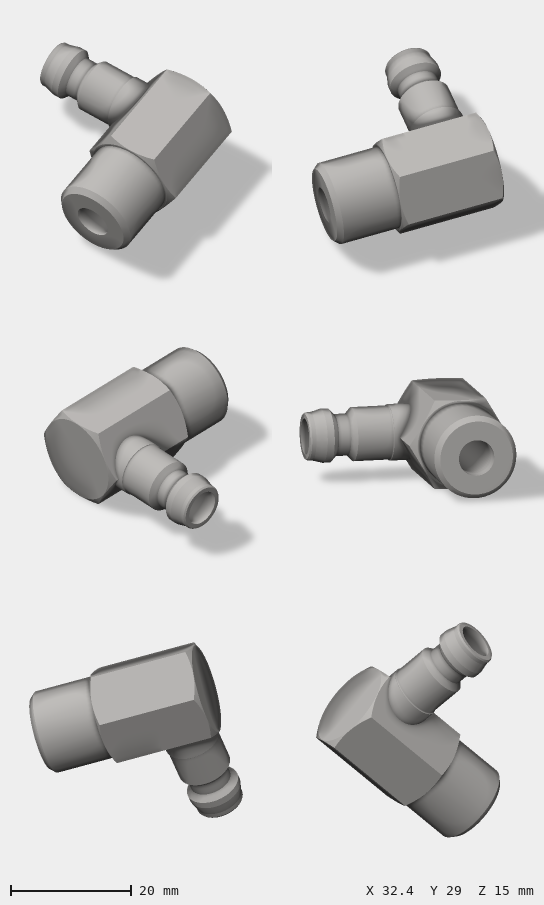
import cadquery as cq
import math

across_flats = 15.0
across_corners = across_flats / math.cos(math.radians(30))
hex_length = 18.0
hex_chamfer_radius = 7.42
hex_chamfer_angle = 30.0
body_length = 29.0
stem_radius = 7.0
stem_chamfer_length = 0.9
stem_chamfer_depth = 0.8

total_length = 32.4
nozzle_to_hex_end = 5.85
tip_radius = 4.02
tip_edge = 0.3
tip_edge_depth = 0.2
barrel_radius = 4.5
neck_radius = 3.5
collar_radius = 4.7

flare_start = 1.0
flare_end = 2.82
bead_end = 4.02
neck_start = 5.0
neck_end = 7.05
barrel_start = 8.05
collar_start = 14.2

bore_radius = 3.0

hex_end_y = hex_length
nozzle_y = hex_end_y - nozzle_to_hex_end
stem_end_y = hex_end_y - body_length
tip_x = across_corners / 2 - total_length


def hex_body():
    prism = (
        cq.Workplane("XZ", origin=(0, hex_end_y, 0))
        .polygon(6, across_corners)
        .extrude(hex_length)
    )
    corner_radius = across_corners / 2
    chamfer_length = (corner_radius - hex_chamfer_radius) * math.tan(math.radians(hex_chamfer_angle))
    envelope = (
        cq.Workplane("XY")
        .polyline([
            (0, 0),
            (hex_chamfer_radius, 0),
            (corner_radius, chamfer_length),
            (corner_radius, hex_end_y - chamfer_length),
            (hex_chamfer_radius, hex_end_y),
            (0, hex_end_y),
        ])
        .close()
        .revolve(360, (0, 0, 0), (0, 1, 0))
    )
    return prism.intersect(envelope)


def round_stem():
    return (
        cq.Workplane("XY")
        .polyline([
            (0, 0),
            (stem_radius, 0),
            (stem_radius, stem_end_y + stem_chamfer_length),
            (stem_radius - stem_chamfer_depth, stem_end_y),
            (0, stem_end_y),
        ])
        .close()
        .revolve(360, (0, 0, 0), (0, 1, 0))
    )


def nozzle():
    fillet_radius = collar_radius - barrel_radius
    fillet_start = collar_start - fillet_radius
    fillet_mid_x = fillet_start + fillet_radius * math.sin(math.radians(45))
    fillet_mid_radius = collar_radius - fillet_radius * math.cos(math.radians(45))
    return (
        cq.Workplane("XY", origin=(tip_x, nozzle_y, 0))
        .lineTo(0, tip_radius - tip_edge_depth)
        .lineTo(tip_edge, tip_radius)
        .lineTo(flare_start, tip_radius)
        .lineTo(flare_end, barrel_radius)
        .lineTo(bead_end, barrel_radius)
        .lineTo(neck_start, neck_radius)
        .lineTo(neck_end, neck_radius)
        .lineTo(barrel_start, barrel_radius)
        .lineTo(fillet_start, barrel_radius)
        .threePointArc((fillet_mid_x, fillet_mid_radius), (collar_start, collar_radius))
        .lineTo(-tip_x, collar_radius)
        .lineTo(-tip_x, 0)
        .close()
        .revolve(360, (0, 0, 0), (1, 0, 0))
    )


def passage():
    stem_bore = (
        cq.Workplane("XZ", origin=(0, nozzle_y + bore_radius, 0))
        .circle(bore_radius)
        .extrude(nozzle_y + bore_radius - stem_end_y)
    )
    nozzle_bore = (
        cq.Workplane("YZ", origin=(tip_x, nozzle_y, 0))
        .circle(bore_radius)
        .extrude(-tip_x)
    )
    return stem_bore.union(nozzle_bore)


result = hex_body().union(round_stem()).union(nozzle()).cut(passage())